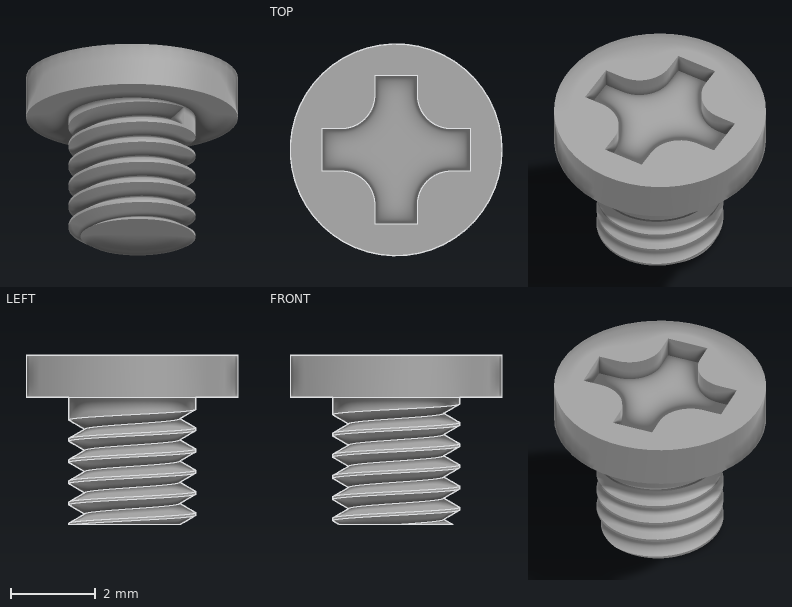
import cadquery as cq
import math

head_diameter = 5
head_height = 1
shank_diameter = 3
shank_length = 3

recess_span = 3.5
recess_arm_width = 1
recess_corner_radius = 0.8
recess_depth = 0.5

thread_pitch = 0.5
thread_turns = 6
thread_top = shank_length - thread_pitch / 2
crest_width = thread_pitch / 8
flank_angle = math.radians(30)
cutter_overlap = 0.025


def screw_blank():
    shank = cq.Workplane("XY").circle(shank_diameter / 2).extrude(shank_length)
    head = (
        cq.Workplane("XY")
        .workplane(offset=shank_length)
        .circle(head_diameter / 2)
        .extrude(head_height)
    )
    return shank.union(head)


def cross_recess():
    floor_height = shank_length + head_height - recess_depth
    floor = cq.Workplane("XY").workplane(offset=floor_height)
    arm_x = floor.rect(recess_span, recess_arm_width).extrude(recess_depth)
    arm_y = floor.rect(recess_arm_width, recess_span).extrude(recess_depth)
    reach = 0.6 * recess_arm_width
    inner_corners = cq.selectors.BoxSelector(
        (-reach, -reach, floor_height),
        (reach, reach, floor_height + recess_depth),
    )
    return arm_x.union(arm_y).edges("|Z").edges(inner_corners).fillet(recess_corner_radius)


def thread_groove():
    """V-shaped cutter along a helix that starts below the shank tip."""
    groove_length = thread_turns * thread_pitch
    start_height = thread_top - groove_length
    shank_radius = shank_diameter / 2
    groove_width = thread_pitch - crest_width
    root_radius = shank_radius - groove_width / 2 / math.tan(flank_angle)
    outer_radius = shank_radius + cutter_overlap
    half_opening = (outer_radius - root_radius) * math.tan(flank_angle)
    path = cq.Wire.makeHelix(thread_pitch, groove_length, shank_radius, cq.Vector(0, 0, start_height))
    profile = cq.Workplane("XZ").polyline(
        [
            (root_radius, start_height),
            (outer_radius, start_height + half_opening),
            (outer_radius, start_height - half_opening),
        ]
    ).close()
    groove = profile.sweep(cq.Workplane(path), isFrenet=True)
    return groove.rotate((0, 0, 0), (0, 0, 1), 90)


result = screw_blank().cut(cross_recess()).cut(thread_groove())